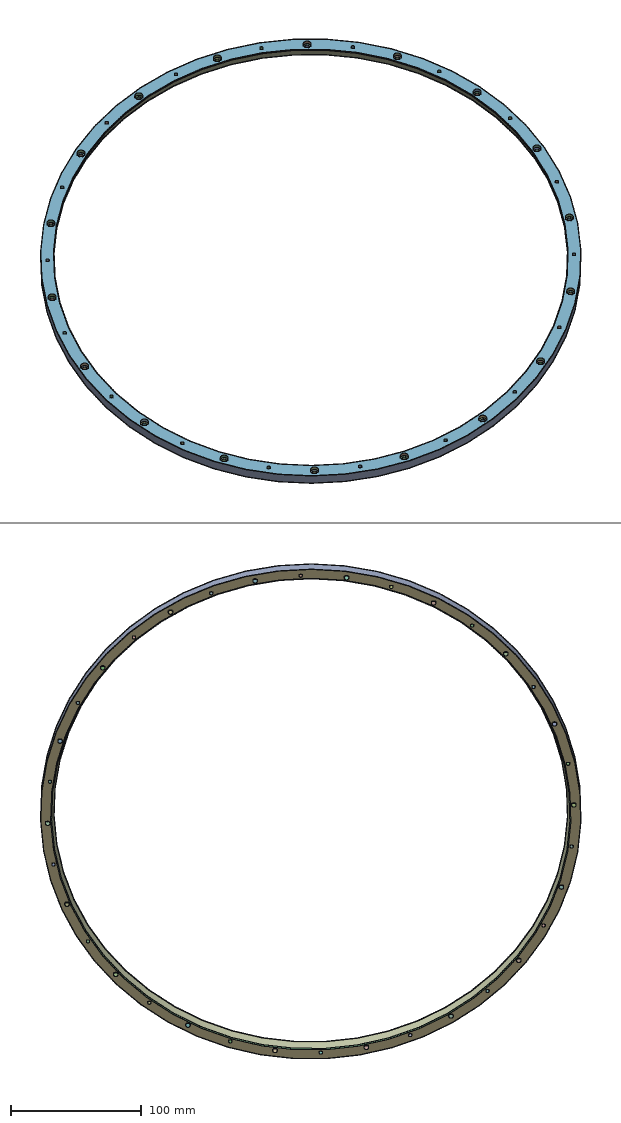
import cadquery as cq

outer_diameter = 412.5
inner_diameter = 392
height = 10.0
outer_radius = outer_diameter / 2
inner_radius = inner_diameter / 2

outer_chamfer = 0.2
top_inner_chamfer = 0.58
bottom_inner_chamfer = 1.0
relief_height = 7.0
relief_depth = 1.85

hole_circle_radius = 201.0
holes_per_kind = 18
first_hole_angle = 90
half_spacing = 360 / holes_per_kind / 2
screw_hole_diameter = 3.5
counterbore_diameter = 6.0
counterbore_depth = 3.5
pin_hole_diameter = 2.6


def make_ring():
    """Revolve the chamfered ring section around Z."""
    relief_radius = inner_radius + relief_depth
    section = [
        (inner_radius + top_inner_chamfer, height),
        (outer_radius - outer_chamfer, height),
        (outer_radius, height - outer_chamfer),
        (outer_radius, outer_chamfer),
        (outer_radius - outer_chamfer, 0),
        (relief_radius + bottom_inner_chamfer, 0),
        (relief_radius, bottom_inner_chamfer),
        (inner_radius, relief_height),
        (inner_radius, height - top_inner_chamfer),
    ]
    return cq.Workplane("XZ").polyline(section).close().revolve(360, (0, 0), (0, 1))


def hole_centres(body, start_angle):
    """Select evenly spaced hole centres on the top face."""
    top = body.faces(">Z").workplane(origin=(0, 0, height))
    return top.polarArray(hole_circle_radius, start_angle, 360, holes_per_kind)


ring = make_ring()
ring = hole_centres(ring, first_hole_angle).cboreHole(
    screw_hole_diameter, counterbore_diameter, counterbore_depth
)
ring = hole_centres(ring, first_hole_angle + half_spacing).hole(pin_hole_diameter)

result = ring